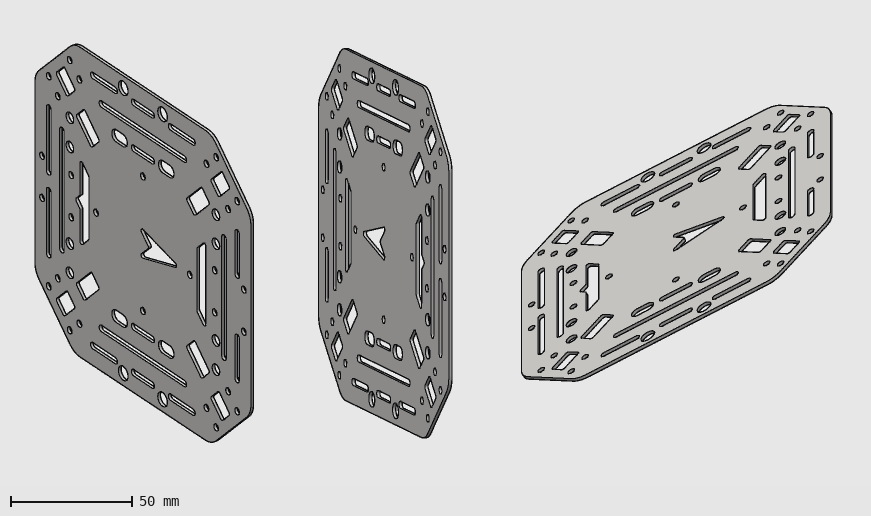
import cadquery as cq

SIDE = 148.0
THICKNESS = 1.5
CORNER_CUT = 27.0
CORNER_RADIUS = 10.0

SMALL_HOLE = 3.1
MEDIUM_HOLE = 5.0
LARGE_HOLE = 6.5
SIDE_HOLE_Z = 10.0
SIDE_HOLE_XS = (49.1, 69.1)
CORNER_HOLES = ((50.2, 64.5), (43.5, 58.3))
AXIS_HOLE_DISTANCE = 32.1
MEDIUM_HOLE_X = 50.0
MEDIUM_HOLE_ZS = (23.1, 37.0)
LARGE_HOLE_AT = (13.5, 68.1)

SLOT_WIDTH = 3.0
OUTER_ROW = 64.5
LONG_ROW_Z = 53.6
LONG_COLUMN_X = 55.5
INNER_ROW_Z = 42.6
LONG_SLOT = 59.8
MIDDLE_SLOT = 15.7
OUTER_SLOT = 18.4
OUTER_SLOT_X = 26.6
LEFT_SLOT = 33.3
RIGHT_SLOT = 23.0
SIDE_SLOT_END = 36.4
OVAL_LENGTH = 10.5
OVAL_WIDTH = 5.8
OVAL_AT = (16.0, 43.0)

DIAGONAL_ANGLE = 45
DIAGONAL_WIDTH = 8.0
DIAGONAL_WINDOWS = ((53.0, 11.0), (37.7, 15.0))
WINDOW_RADIUS = 1.0

SIDE_WINDOW_INNER_X = 37.0
SIDE_WINDOW_OUTER_X = 43.0
SIDE_WINDOW_HALF_HEIGHT = 21.2
NOTCH_DEPTH = 3.3

ARROW_TIP_X = 26.0
ARROW_TAIL_X = -3.7
ARROW_HALF_HEIGHT = 7.8
ARROW_NOTCH_X = 4.3

SIGNS = (1, -1)


def mirrored(points):
    """Repeat points of one quadrant in all four quadrants."""
    return [(sx * x, sz * z) for x, z in points for sx in SIGNS for sz in SIGNS]


def extruded(sketch):
    return sketch.extrude(THICKNESS / 2, both=True)


def plane():
    return cq.Workplane("XZ")


def holes(points, diameter):
    return extruded(plane().pushPoints(points).circle(diameter / 2))


def slots(points, length, width=SLOT_WIDTH, angle=0):
    return extruded(plane().pushPoints(points).slot2D(length, width, angle))


def window(points):
    """Polygonal cutter with rounded corners."""
    return extruded(plane().polyline(points).close()).edges("|Y").fillet(WINDOW_RADIUS)


def make_plate():
    square = extruded(plane().rect(SIDE, SIDE))
    return square.edges("|Y").chamfer(CORNER_CUT).edges("|Y").fillet(CORNER_RADIUS)


def hole_cutters():
    corner = list(CORNER_HOLES) + [(z, x) for x, z in CORNER_HOLES]
    side = [(x, SIDE_HOLE_Z) for x in SIDE_HOLE_XS]
    on_axes = [(s * AXIS_HOLE_DISTANCE, 0) for s in SIGNS]
    on_axes += [(0, s * AXIS_HOLE_DISTANCE) for s in SIGNS]
    return [
        holes(mirrored(corner + side) + on_axes, SMALL_HOLE),
        holes(mirrored([(MEDIUM_HOLE_X, z) for z in MEDIUM_HOLE_ZS]), MEDIUM_HOLE),
        holes(mirrored([LARGE_HOLE_AT]), LARGE_HOLE),
    ]


def slot_cutters():
    cutters = [
        slots(mirrored([(OUTER_SLOT_X, OUTER_ROW)]), OUTER_SLOT),
        slots(mirrored([OVAL_AT]), OVAL_LENGTH, OVAL_WIDTH),
    ]
    middle_rows = [(0, s * z) for s in SIGNS for z in (OUTER_ROW, INNER_ROW_Z)]
    cutters.append(slots(middle_rows, MIDDLE_SLOT))
    cutters.append(slots([(0, s * LONG_ROW_Z) for s in SIGNS], LONG_SLOT))
    cutters.append(slots([(s * LONG_COLUMN_X, 0) for s in SIGNS], LONG_SLOT, angle=90))
    for x, length in ((-OUTER_ROW, LEFT_SLOT), (OUTER_ROW, RIGHT_SLOT)):
        center_z = SIDE_SLOT_END - length / 2
        cutters.append(slots([(x, s * center_z) for s in SIGNS], length, angle=90))
    return cutters


def diagonal_cutters():
    cutters = []
    for offset, length in DIAGONAL_WINDOWS:
        bar = extruded(plane().rect(length, DIAGONAL_WIDTH)).edges("|Y").fillet(WINDOW_RADIUS)
        for sx, sz in mirrored([(1, 1)]):
            tilt = -DIAGONAL_ANGLE * sx * sz
            turned = bar.rotate((0, 0, 0), (0, 1, 0), tilt)
            cutters.append(turned.translate((sx * offset, 0, sz * offset)))
    return cutters


def side_window_cutters():
    inner_half_height = SIDE_WINDOW_HALF_HEIGHT - (SIDE_WINDOW_OUTER_X - SIDE_WINDOW_INNER_X)
    right = [
        (SIDE_WINDOW_INNER_X, inner_half_height),
        (SIDE_WINDOW_OUTER_X, SIDE_WINDOW_HALF_HEIGHT),
        (SIDE_WINDOW_OUTER_X, -SIDE_WINDOW_HALF_HEIGHT),
        (SIDE_WINDOW_INNER_X, -inner_half_height),
    ]
    notch = [
        (-SIDE_WINDOW_OUTER_X, NOTCH_DEPTH),
        (-SIDE_WINDOW_OUTER_X - NOTCH_DEPTH, 0),
        (-SIDE_WINDOW_OUTER_X, -NOTCH_DEPTH),
    ]
    left = [(-x, z) for x, z in right]
    return [window(right), window(left[:2] + notch + left[2:])]


def arrow_cutter():
    return window([
        (ARROW_TIP_X, 0),
        (ARROW_TAIL_X, ARROW_HALF_HEIGHT),
        (ARROW_NOTCH_X, 0),
        (ARROW_TAIL_X, -ARROW_HALF_HEIGHT),
    ])


result = make_plate()
cutters = hole_cutters() + slot_cutters() + diagonal_cutters() + side_window_cutters() + [arrow_cutter()]
for cutter in cutters:
    result = result.cut(cutter)